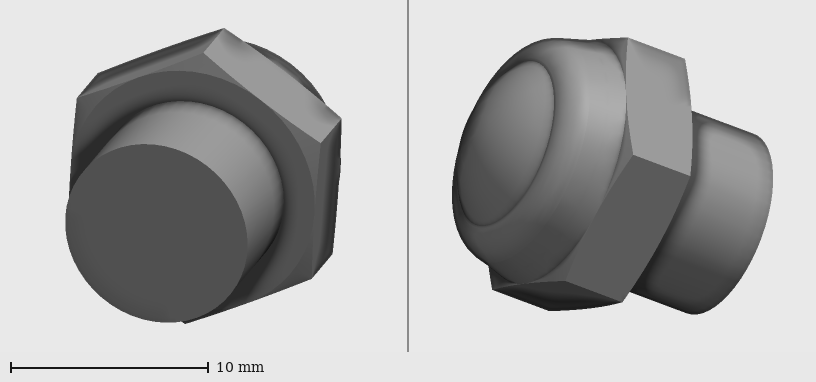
import cadquery as cq
import math

total_length = 14.75
hex_height = 14.98
hex_turn = 3.7
stud_diameter = 9.7
stud_length = 5.99
hex_thickness = 4.0
cap_length = 3.0
cap_taper = 15.0
cap_fillet = 1.5
dome_base_radius = 4.4
chamfer_angle = 15.0

corner_radius = hex_height / 2 / math.cos(math.radians(hex_turn))
flat_radius = corner_radius * math.cos(math.radians(30))
chamfer_slope = math.tan(math.radians(chamfer_angle))
chamfer_depth = (corner_radius - flat_radius) * chamfer_slope
hex_start = stud_length
hex_end = hex_start + hex_thickness
cap_end = hex_end + cap_length
cap_end_radius = flat_radius - cap_length * math.tan(math.radians(cap_taper))
dome_height = total_length - cap_end
dome_radius = (dome_base_radius**2 + dome_height**2) / (2 * dome_height)


def revolve_about_y(profile):
    return profile.close().revolve(360, (0, 0, 0), (0, 1, 0))


def make_stud():
    return cq.Workplane("XZ").circle(stud_diameter / 2).extrude(-stud_length)


def make_hexagon():
    """Hexagonal collar with conical chamfers on the corners of both faces."""
    prism = (
        cq.Workplane("XZ", origin=(0, hex_start, 0))
        .transformed(rotate=(0, 0, 90 - hex_turn))
        .polygon(6, 2 * corner_radius)
        .extrude(-hex_thickness)
    )
    chamfer_envelope = revolve_about_y(
        cq.Workplane("XY")
        .moveTo(0, hex_start)
        .lineTo(flat_radius, hex_start)
        .lineTo(corner_radius, hex_start + chamfer_depth)
        .lineTo(corner_radius, hex_end - chamfer_depth)
        .lineTo(flat_radius, hex_end)
        .lineTo(0, hex_end)
    )
    return prism.intersect(chamfer_envelope)


def make_cap():
    """Tapered cap with a rounded outer edge."""
    cone = revolve_about_y(
        cq.Workplane("XY")
        .moveTo(0, hex_end)
        .lineTo(flat_radius, hex_end)
        .lineTo(cap_end_radius, cap_end)
        .lineTo(0, cap_end)
    )
    return cone.faces(">Y").edges().fillet(cap_fillet)


def make_dome():
    """Spherical dome, seated on the flat end of the cap."""
    half_angle = math.asin(dome_base_radius / dome_radius) / 2
    center_y = total_length - dome_radius
    arc_middle = (
        dome_radius * math.sin(half_angle),
        center_y + dome_radius * math.cos(half_angle),
    )
    return revolve_about_y(
        cq.Workplane("XY")
        .moveTo(0, cap_end)
        .lineTo(dome_base_radius, cap_end)
        .threePointArc(arc_middle, (0, total_length))
    )


body = make_stud().union(make_hexagon()).union(make_cap()).union(make_dome())

result = body.translate((0, -total_length / 2, 0))